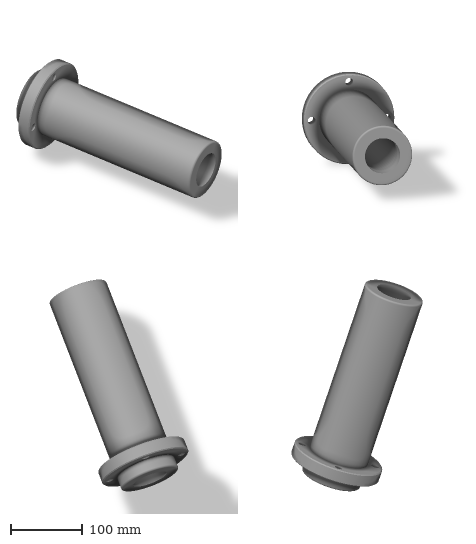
import cadquery as cq

length = 290.0
tube_diameter = 85.3
bore_diameter = 50.2
tube_rim_radius = 2.5

flange_diameter = 129.0
flange_start = 18.0
flange_thickness = 18.5
flange_chamfer = 1.5

relief_width = 1.5
relief_depth = 0.5

bolt_circle_diameter = 107.3
bolt_hole_diameter = 11.0
bolt_count = 4


def cylinder_along_x(diameter, start, depth):
    return cq.Workplane("YZ", origin=(start, 0, 0)).circle(diameter / 2).extrude(depth)


tube = cylinder_along_x(tube_diameter, 0, length).edges().fillet(tube_rim_radius)
flange = cylinder_along_x(flange_diameter, flange_start, flange_thickness).edges().chamfer(flange_chamfer)

relief_start = flange_start - relief_width
relief_floor_diameter = tube_diameter - 2 * relief_depth
relief_floor = cylinder_along_x(relief_floor_diameter, relief_start, relief_width)
relief = cylinder_along_x(tube_diameter, relief_start, relief_width).cut(relief_floor)

bore = cylinder_along_x(bore_diameter, 0, length)
bolt_holes = (
    cq.Workplane("YZ", origin=(flange_start, 0, 0))
    .polarArray(bolt_circle_diameter / 2, 0, 360, bolt_count)
    .circle(bolt_hole_diameter / 2)
    .extrude(flange_thickness)
)

result = tube.cut(relief).union(flange).cut(bore).cut(bolt_holes)